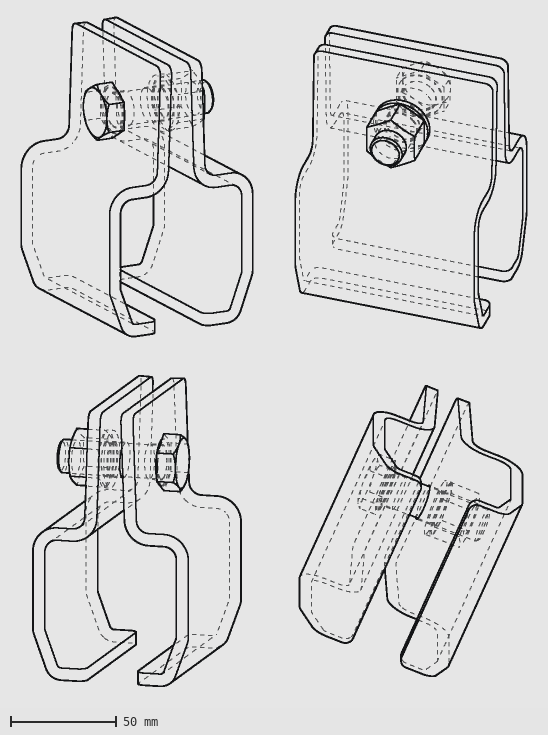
import cadquery as cq
import math

clamp_length = 90.0
thickness = 6.0
half_width = 38.5
height = 131.0
tab_tip_y = 11.0
tab_tilt = math.radians(2)
shoulder_height = 74.0
knee_height = 23.0
knee_angle = math.radians(20)
lip_tip_y = 12.5
shoulder_bend_radius = 6.0
lower_bend_radius = 2.0
corner_radius = 4.0

axis_height = 99.0
bolt_diameter = 16.0
bolt_length = 50.0
bolt_tip_diameter = 13.84
clearance_diameter = 17.0
across_flats = 24.0
head_height = 10.0
head_collar_height = 0.8
head_collar_diameter = 22.49
washer_thickness = 2.8
washer_diameter = 27.5
nut_height = 14.8
head_chamfer_angle = math.radians(30)
nut_chamfer_angle = math.radians(15)

across_corners = across_flats / math.cos(math.radians(30))


def seat_distance(diameter):
    """Distance from the XZ plane at which a round face's lower edge touches the leaning tab."""
    depth_below_tip = height - axis_height + diameter / 2
    return tab_tip_y + depth_below_tip * math.tan(tab_tilt)


head_seat_y = -seat_distance(head_collar_diameter)
washer_seat_y = seat_distance(washer_diameter)


def clamp_half():
    """The half on the +Y side, with its sharp outline rounded at the bends."""
    tab_foot_y = tab_tip_y + (height - shoulder_height) * math.tan(tab_tilt)
    heel_y = half_width - knee_height * math.tan(knee_angle)
    outer = [
        (tab_tip_y, height),
        (tab_foot_y, shoulder_height),
        (half_width, shoulder_height),
        (half_width, knee_height),
        (heel_y, 0),
        (lip_tip_y, 0),
    ]

    tab_end = (
        tab_tip_y - thickness * math.cos(tab_tilt),
        height - thickness * math.sin(tab_tilt),
    )
    ceiling = shoulder_height - thickness
    inner_tab_foot_y = tab_end[0] + (tab_end[1] - ceiling) * math.tan(tab_tilt)
    wall_y = half_width - thickness
    inner_knee_height = knee_height + thickness * math.tan(knee_angle / 2)
    inner_heel_y = wall_y - (inner_knee_height - thickness) * math.tan(knee_angle)
    inner = [
        tab_end,
        (inner_tab_foot_y, ceiling),
        (wall_y, ceiling),
        (wall_y, inner_knee_height),
        (inner_heel_y, thickness),
        (lip_tip_y, thickness),
    ]

    half = (
        cq.Workplane("YZ")
        .polyline(outer + inner[::-1])
        .close()
        .extrude(clamp_length / 2, both=True)
    )

    def round_bend(body, bend, outer_radius, inner_radius):
        for (y, z), radius in ((outer[bend], outer_radius), (inner[bend], inner_radius)):
            edge = cq.selectors.NearestToPointSelector((0, y, z))
            body = body.edges("|X").edges(edge).fillet(radius)
        return body

    tab_bend, shoulder_bend, knee_bend, lip_bend = range(1, 5)
    shoulder_outside = shoulder_bend_radius + thickness
    lower_outside = lower_bend_radius + thickness
    half = round_bend(half, tab_bend, shoulder_bend_radius, shoulder_outside)
    half = round_bend(half, shoulder_bend, shoulder_outside, shoulder_bend_radius)
    half = round_bend(half, knee_bend, lower_outside, lower_bend_radius)
    half = round_bend(half, lip_bend, lower_outside, lower_bend_radius)

    for x in (-clamp_length / 2, clamp_length / 2):
        for tip in (0, -1):
            y = (outer[tip][0] + inner[tip][0]) / 2
            z = (outer[tip][1] + inner[tip][1]) / 2
            half = half.edges(cq.selectors.NearestToPointSelector((x, y, z))).fillet(corner_radius)

    return half.cut(rod(clearance_diameter, 0, half_width))


def rod(diameter, start_y, length):
    """A round bar on the bolt axis, running towards +Y from start_y."""
    return (
        cq.Workplane("XZ", origin=(0, start_y, axis_height))
        .circle(diameter / 2)
        .extrude(-length)
    )


def hexagon(start_y, length, chamfer_angle, chamfered_ends):
    """A hexagonal bar on the bolt axis, corners up and down, with turned-off corners."""
    bar = (
        cq.Workplane("XZ", origin=(0, start_y, axis_height))
        .transformed(rotate=(0, 0, 90))
        .polygon(6, across_corners)
        .extrude(-length)
    )
    corner_width = (across_corners - across_flats) / 2
    corner_depth = corner_width * math.tan(chamfer_angle)
    envelope = rod(across_corners, start_y, length)
    for end in chamfered_ends:
        envelope = envelope.faces(end).chamfer(corner_depth, corner_width)
    return bar.intersect(envelope)


def make_bolt():
    tip_width = (bolt_diameter - bolt_tip_diameter) / 2
    shank = rod(bolt_diameter, head_seat_y, bolt_length).faces(">Y").chamfer(tip_width)
    collar = rod(head_collar_diameter, head_seat_y - head_collar_height, head_collar_height)
    hex_height = head_height - head_collar_height
    head = hexagon(head_seat_y - head_height, hex_height, head_chamfer_angle, ["<Y"])
    return head.union(collar).union(shank)


def make_washer():
    washer = rod(washer_diameter, washer_seat_y, washer_thickness)
    return washer.cut(rod(clearance_diameter, washer_seat_y, washer_thickness))


def make_nut():
    seat_y = washer_seat_y + washer_thickness
    nut = hexagon(seat_y, nut_height, nut_chamfer_angle, ["<Y", ">Y"])
    return nut.cut(rod(bolt_diameter, seat_y, nut_height))


back_clamp = clamp_half()
front_clamp = back_clamp.mirror("XZ")
bolt = make_bolt()
washer = make_washer()
nut = make_nut()

result = cq.Compound.makeCompound(
    [back_clamp.val(), front_clamp.val(), bolt.val(), washer.val(), nut.val()]
)